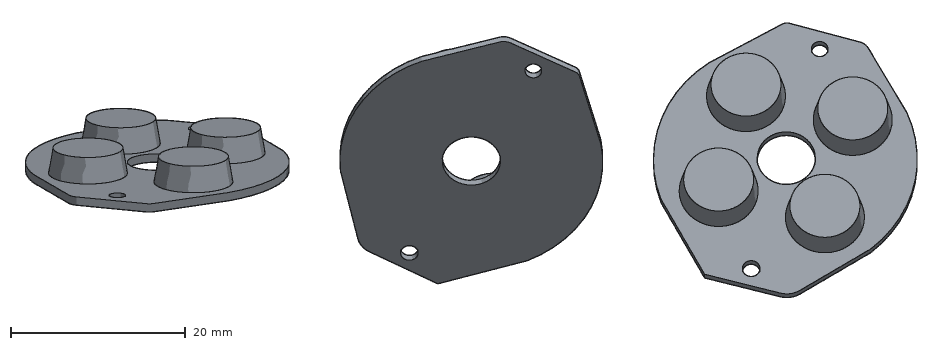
import cadquery as cq
import math

PLATE_THICKNESS = 1.0
PEG_HEIGHT = 3.0

TOP_EDGE_Y = 15.1
TOP_LEFT_CORNER_X = -8.75
BOTTOM_ARC_END = (-1.3, -14.9)
BOTTOM_RIGHT_CORNER = (8.7, -14.78)
RIGHT_CORNER = (15.32, -7.93)
RIGHT_ARC_END = (14.82, 2.2)
TOP_ARC_END = (2.0, TOP_EDGE_Y)
LEFT_CORNER = (-15.73, 7.62)
LEFT_ARC_END = (-14.7, -3.2)

UPPER_ARC_RADIUS = 15.0
LOWER_ARC_RADIUS = 15.0
LEFT_CORNER_RADIUS = 2.8
RIGHT_CORNER_RADIUS = 1.0
BOTTOM_CORNER_RADIUS = 1.7

CENTRE_HOLE_DIAMETER = 6.65
PIN_HOLES = [((-10.57, 10.04), 2.0), ((10.5, -9.8), 1.9)]

PEG_BASE_DIAMETER = 9.03
PEG_TOP_DIAMETER = 8.0
PEG_CENTRES = [(-0.12, 8.78), (9.11, 0.43), (0.78, -8.99), (-8.7, -0.44)]


def arc_midpoint(start, end, radius):
    """Middle of the minor arc that runs clockwise from start to end."""
    chord_x = end[0] - start[0]
    chord_y = end[1] - start[1]
    chord = math.hypot(chord_x, chord_y)
    rise = radius - math.sqrt(radius**2 - (chord / 2) ** 2)
    mid_x = (start[0] + end[0]) / 2 - chord_y / chord * rise
    mid_y = (start[1] + end[1]) / 2 + chord_x / chord * rise
    return (mid_x, mid_y)


def round_corner(body, corner, radius):
    """Fillet the upright plate edge at the given corner."""
    upright_edge = cq.selectors.NearestToPointSelector((*corner, PLATE_THICKNESS / 2))
    return body.edges("|Z").edges(upright_edge).fillet(radius)


def make_plate():
    """Flat plate with two rounded sides and two clipped ears."""
    plate = (
        cq.Workplane("XY")
        .moveTo(TOP_LEFT_CORNER_X, TOP_EDGE_Y)
        .lineTo(*TOP_ARC_END)
        .threePointArc(arc_midpoint(TOP_ARC_END, RIGHT_ARC_END, UPPER_ARC_RADIUS), RIGHT_ARC_END)
        .lineTo(*RIGHT_CORNER)
        .lineTo(*BOTTOM_RIGHT_CORNER)
        .lineTo(*BOTTOM_ARC_END)
        .threePointArc(arc_midpoint(BOTTOM_ARC_END, LEFT_ARC_END, LOWER_ARC_RADIUS), LEFT_ARC_END)
        .lineTo(*LEFT_CORNER)
        .close()
        .extrude(PLATE_THICKNESS)
    )
    plate = round_corner(plate, LEFT_CORNER, LEFT_CORNER_RADIUS)
    plate = round_corner(plate, RIGHT_CORNER, RIGHT_CORNER_RADIUS)
    return round_corner(plate, BOTTOM_RIGHT_CORNER, BOTTOM_CORNER_RADIUS)


def make_hole(centre, diameter):
    """Cutter for a round hole through the plate."""
    return cq.Workplane("XY").center(*centre).circle(diameter / 2).extrude(PLATE_THICKNESS)


def make_peg(centre):
    """Peg standing on the plate, narrowing towards its flat top."""
    taper = math.degrees(math.atan((PEG_BASE_DIAMETER - PEG_TOP_DIAMETER) / 2 / PEG_HEIGHT))
    return (
        cq.Workplane("XY")
        .workplane(offset=PLATE_THICKNESS)
        .center(*centre)
        .circle(PEG_BASE_DIAMETER / 2)
        .extrude(PEG_HEIGHT, taper=taper)
    )


result = make_plate().cut(make_hole((0, 0), CENTRE_HOLE_DIAMETER))
for hole_centre, hole_diameter in PIN_HOLES:
    result = result.cut(make_hole(hole_centre, hole_diameter))
for peg_centre in PEG_CENTRES:
    result = result.union(make_peg(peg_centre))